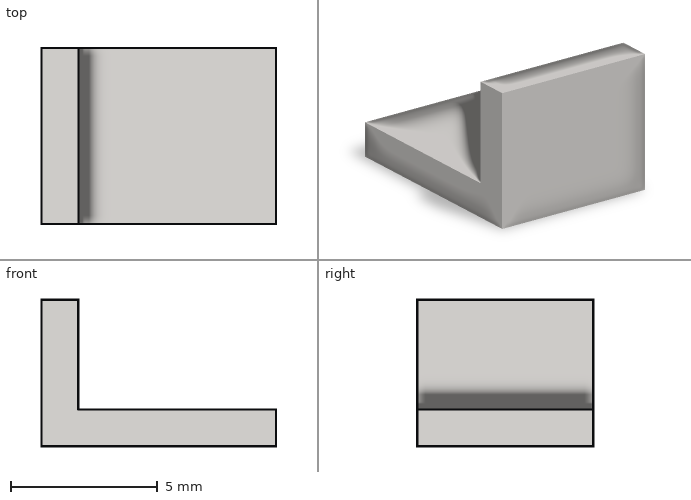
import cadquery as cq

length = 8.0
width = 6.0
height = 5.0
thickness = 1.26

profile = [
    (0, 0),
    (length, 0),
    (length, thickness),
    (thickness, thickness),
    (thickness, height),
    (0, height),
]

result = cq.Workplane("XZ").polyline(profile).close().extrude(-width)